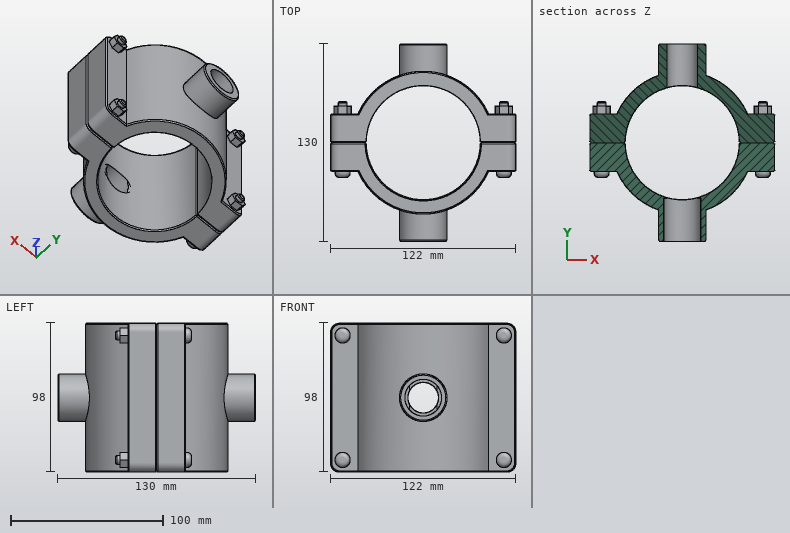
import cadquery as cq
import math

clamp_width = 122.0
clamp_length = 98.0
flange_thickness = 19.0
flange_corner_radius = 6.0
ring_diameter = 94.0
bore_diameter = 75.0
edge_chamfer = 0.85

nozzle_end_y = 65.0
nozzle_diameter = 31.3
socket_diameter = 24.2
socket_floor_y = 36.4
port_diameter = 20.0

bolt_x = 53.0
bolt_z = 41.0
head_diameter = 10.0
head_height = 4.0
head_fillet = 3.0
nut_across_flats = 10.0
hex_sides = 6
nut_height = 5.1
bolt_diameter = 6.0
bolt_tip_length = 3.0
bolt_tip_chamfer = 0.8

half_width = clamp_width / 2
half_length = clamp_length / 2
ring_radius = ring_diameter / 2
bore_radius = bore_diameter / 2
flange_root_x = math.sqrt(ring_radius**2 - flange_thickness**2)
arc_split_y = (bore_radius + ring_radius) * 3 / 8
selection_margin = 0.1
bolt_points = [(x, z) for x in (-bolt_x, bolt_x) for z in (-bolt_z, bolt_z)]


def facing_y(y):
    """Workplane at height y whose local axes are X and Z; a negative extrusion goes toward +Y."""
    return cq.Workplane("XZ", origin=(0, y, 0))


def y_cylinder(diameter, start_y, end_y):
    """Cylinder on the Y axis."""
    return facing_y(start_y).circle(diameter / 2).extrude(start_y - end_y)


def edges_between(body, low_x, high_x, low_y, high_y):
    """Edges of the body whose centres lie in an XY window, at any Z."""
    low = (low_x, low_y, -clamp_length)
    high = (high_x, high_y, clamp_length)
    return body.edges(cq.selectors.BoxSelector(low, high)).vals()


def square_shell():
    """Half ring with a flange on each side, on the +Y side of the split plane."""
    return (
        cq.Workplane("XY", origin=(0, 0, -half_length))
        .moveTo(bore_radius, 0)
        .lineTo(half_width, 0)
        .lineTo(half_width, flange_thickness)
        .lineTo(flange_root_x, flange_thickness)
        .threePointArc((0, ring_radius), (-flange_root_x, flange_thickness))
        .lineTo(-half_width, flange_thickness)
        .lineTo(-half_width, 0)
        .lineTo(-bore_radius, 0)
        .threePointArc((0, bore_radius), (bore_radius, 0))
        .close()
        .extrude(clamp_length)
        .edges("|Y")
        .fillet(flange_corner_radius)
    )


def chamfered_shell(chamfer_bore_rims):
    """Shell with its outer edges and split-face edges chamfered, and the bore rims if asked."""
    shell = square_shell()
    middle = (-selection_margin, selection_margin)
    low_y = flange_thickness - selection_margin
    high_y = flange_thickness + selection_margin

    picked = edges_between(shell, *middle, arc_split_y, ring_radius)
    picked += edges_between(shell, flange_root_x + selection_margin, clamp_width, low_y, high_y)
    picked += edges_between(shell, -clamp_width, -flange_root_x - selection_margin, low_y, high_y)
    picked += shell.faces("<Y").edges().vals()
    if chamfer_bore_rims:
        picked += edges_between(shell, *middle, selection_margin, arc_split_y)
    return shell.newObject(picked).chamfer(edge_chamfer)


def nozzle():
    """Solid nozzle on the +Y side, rooted inside the ring wall."""
    root_y = (bore_radius + ring_radius) / 2
    return y_cylinder(nozzle_diameter, root_y, nozzle_end_y).faces(">Y").chamfer(edge_chamfer)


def clamp_half(chamfer_bore_rims):
    """Shell with its nozzle and the port through it, on the +Y side of the split plane."""
    half = chamfered_shell(chamfer_bore_rims).union(nozzle())
    return half.cut(y_cylinder(port_diameter, 0, nozzle_end_y))


def bolt_heads():
    """Round bolt heads standing on the outer flange faces."""
    heads = facing_y(flange_thickness).pushPoints(bolt_points).circle(head_diameter / 2).extrude(-head_height)
    return heads.faces(">Y").edges().fillet(head_fillet)


def nuts_with_tips():
    """Hexagonal nuts standing on the outer flange faces, with the bolt tips beyond them."""
    across_corners = nut_across_flats / math.cos(math.pi / hex_sides)
    nuts = (
        facing_y(flange_thickness)
        .pushPoints(bolt_points)
        .polygon(hex_sides, across_corners)
        .extrude(-nut_height)
    )
    tips = (
        facing_y(flange_thickness + nut_height)
        .pushPoints(bolt_points)
        .circle(bolt_diameter / 2)
        .extrude(-bolt_tip_length)
        .faces(">Y")
        .edges()
        .chamfer(bolt_tip_chamfer)
    )
    return nuts.union(tips)


def front_clamp():
    """Half on the -Y side: socketed nozzle, chamfered bore rims and the bolt heads."""
    socket = y_cylinder(socket_diameter, socket_floor_y, nozzle_end_y)
    return clamp_half(chamfer_bore_rims=True).cut(socket).union(bolt_heads()).mirror("XZ")


def back_clamp():
    """Half on the +Y side: plain port, sharp bore rims and the nuts."""
    return clamp_half(chamfer_bore_rims=False).union(nuts_with_tips())


front_half = front_clamp()
back_half = back_clamp()

result = cq.Compound.makeCompound([front_half.val(), back_half.val()])